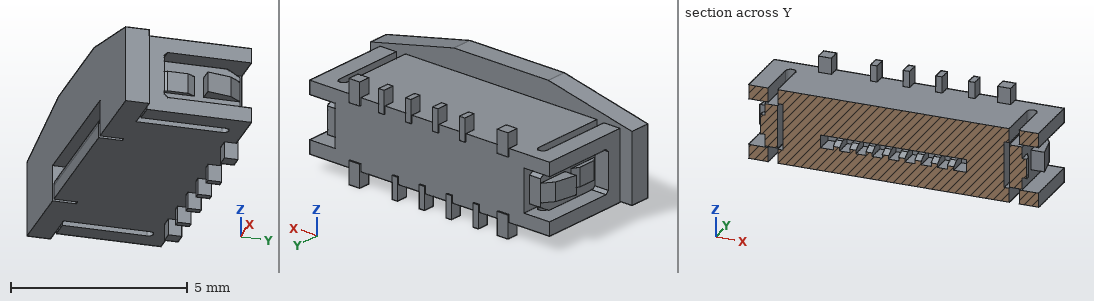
import cadquery as cq
import math


PLATE_WIDTH = 9.7
PLATE_DEPTH = 0.7
PLATE_PEAK_HEIGHT = 3.0
PLATE_PEAK_WIDTH = 3.5
WINDOW_WIDTH = 4.65
WINDOW_HEIGHT = 1.1

BODY_WIDTH = 8.9
BODY_HEIGHT = 2.3
BODY_REAR = 3.85
BODY_HALF = BODY_WIDTH / 2
WING_GAP = 0.05
SLOT_WIDTH = 0.3
SLOT_CENTER_X = 3.7
SLOT_END = 3.4
SLOT_INNER_X = SLOT_CENTER_X - SLOT_WIDTH / 2
SLOT_OUTER_X = SLOT_CENTER_X + SLOT_WIDTH / 2

CHANNEL_BOTTOM = 0.45
CHANNEL_TOP = BODY_HEIGHT - CHANNEL_BOTTOM
CHANNEL_FRONT = 1.265
CHANNEL_CHAMFER = 0.1
CHANNEL_INNER_X = 3.5
RELIEF_FRONT = 1.6
RELIEF_REAR = 3.09
RELIEF_DEPTH = 0.1

ARM_BOTTOM = 0.47
ARM_TOP = 1.8
ARM_INNER_X = SLOT_INNER_X
ARM_OUTER_X = 3.95
ARM_TIP_Y = 3.66
ARM_TIP_TAPER_LENGTH = 0.37
ARM_TIP_TAPER_HEIGHT = 0.22
LATCH_BOTTOM = 0.83
LATCH_TOP = 1.44
HOOK_RAMP_Y = 3.31
HOOK_RAMP_X = 4.22
HOOK_FRONT_Y = 2.58
HOOK_PEAK_X = 4.37
BUMP_REAR_Y = 2.315
BUMP_CREST_REAR_Y = 2.08
BUMP_CREST_FRONT_Y = 1.47
BUMP_CREST_X = 4.085

TONGUE_WIDTH = 4.4
TONGUE_HEIGHT = 0.72
TONGUE_LIP_RADIUS = 0.3
CAVITY_WIDTH = 4.47
CAVITY_REAR = 2.5

CONTACT_COUNT = 8
CONTACT_PITCH = 0.5
CONTACT_WIDTH = 0.2
CONTACT_BEND = 0.77
CONTACT_TOP = 0.94
CONTACT_FRONT = 1.8
CONTACT_LOWER_LEAN = 42
CONTACT_UPPER_LEAN = 61.5
TAIL_FRONT = 3.5
TAIL_REAR = 3.9
TAIL_REACH = 0.5
TAIL_INSET = 0.25

NAIL_WIDTH = 0.4
NAIL_CENTER_X = 2.75


def box(x_range, y_range, z_range):
    """Axis-aligned block between the given limits."""
    size = [limits[1] - limits[0] for limits in (x_range, y_range, z_range)]
    corner = (x_range[0], y_range[0], z_range[0])
    return cq.Workplane("XY").box(*size, centered=False).translate(corner)


def centered(width, middle=0):
    """Limits of a span of the given width about a middle point."""
    return (middle - width / 2, middle + width / 2)


def both_sides(shape):
    """The shape together with its mirror image across the YZ plane."""
    return shape.union(shape.mirror("YZ"))


def make_plate():
    half = PLATE_WIDTH / 2
    peak_half = PLATE_PEAK_WIDTH / 2
    outline = [
        (-half, 0),
        (half, 0),
        (half, BODY_HEIGHT),
        (peak_half, PLATE_PEAK_HEIGHT),
        (-peak_half, PLATE_PEAK_HEIGHT),
        (-half, BODY_HEIGHT),
    ]
    plate = cq.Workplane("XZ").polyline(outline).close().extrude(-PLATE_DEPTH)
    window = box(centered(WINDOW_WIDTH), (0, PLATE_DEPTH), (0, WINDOW_HEIGHT))
    return plate.cut(window)


def make_channel():
    """Space removed between the wings on the +X side."""
    channel = box(
        (CHANNEL_INNER_X, BODY_HALF),
        (CHANNEL_FRONT, BODY_REAR),
        (CHANNEL_BOTTOM, CHANNEL_TOP),
    )
    channel = channel.faces("<Y").edges("|X").chamfer(CHANNEL_CHAMFER)
    relief = box(
        (CHANNEL_INNER_X - RELIEF_DEPTH, CHANNEL_INNER_X),
        (RELIEF_FRONT, RELIEF_REAR),
        (CHANNEL_BOTTOM, CHANNEL_TOP),
    )
    return channel.union(relief)


def make_slot():
    """Slot with a round rear end, cut through the full height of the +X side."""
    radius = SLOT_WIDTH / 2
    arc_start = SLOT_END - radius
    return (
        cq.Workplane("XY")
        .moveTo(SLOT_INNER_X, PLATE_DEPTH)
        .lineTo(SLOT_OUTER_X, PLATE_DEPTH)
        .lineTo(SLOT_OUTER_X, arc_start)
        .threePointArc((SLOT_CENTER_X, SLOT_END), (SLOT_INNER_X, arc_start))
        .close()
        .extrude(BODY_HEIGHT)
    )


def make_housing():
    body = box(centered(BODY_WIDTH), (PLATE_DEPTH, BODY_REAR), (0, BODY_HEIGHT))
    wing_gap = box(
        (SLOT_INNER_X, BODY_HALF),
        (PLATE_DEPTH, PLATE_DEPTH + WING_GAP),
        (0, BODY_HEIGHT),
    )
    side_cuts = make_channel().union(make_slot()).union(wing_gap)
    cavity = box(centered(CAVITY_WIDTH), (PLATE_DEPTH, CAVITY_REAR), (TONGUE_HEIGHT, WINDOW_HEIGHT))
    return body.cut(both_sides(side_cuts)).cut(cavity)


def make_tongue():
    """Round-lipped tongue under the cable entry, flush with the front of the plate."""
    tongue = box(centered(TONGUE_WIDTH), (0, PLATE_DEPTH), (0, TONGUE_HEIGHT))
    return tongue.edges("<Y and >Z").fillet(TONGUE_LIP_RADIUS)


def make_arm():
    """Slider arm on the +X side, running back from the plate."""
    taper_start = ARM_TIP_Y - ARM_TIP_TAPER_LENGTH
    side_outline = [
        (PLATE_DEPTH, ARM_BOTTOM),
        (taper_start, ARM_BOTTOM),
        (ARM_TIP_Y, ARM_BOTTOM + ARM_TIP_TAPER_HEIGHT),
        (ARM_TIP_Y, ARM_TOP - ARM_TIP_TAPER_HEIGHT),
        (taper_start, ARM_TOP),
        (PLATE_DEPTH, ARM_TOP),
    ]
    arm = (
        cq.Workplane("YZ", origin=(ARM_INNER_X, 0, 0))
        .polyline(side_outline)
        .close()
        .extrude(ARM_OUTER_X - ARM_INNER_X)
    )
    hook_outline = [
        (ARM_INNER_X, ARM_TIP_Y),
        (ARM_OUTER_X, ARM_TIP_Y),
        (HOOK_RAMP_X, HOOK_RAMP_Y),
        (HOOK_PEAK_X, HOOK_FRONT_Y),
        (ARM_INNER_X, HOOK_FRONT_Y),
    ]
    bump_outline = [
        (ARM_OUTER_X, BUMP_REAR_Y),
        (BUMP_CREST_X, BUMP_CREST_REAR_Y),
        (BUMP_CREST_X, BUMP_CREST_FRONT_Y),
        (ARM_OUTER_X, CHANNEL_FRONT),
    ]
    for outline in (hook_outline, bump_outline):
        latch = (
            cq.Workplane("XY", origin=(0, 0, LATCH_BOTTOM))
            .polyline(outline)
            .close()
            .extrude(LATCH_TOP - LATCH_BOTTOM)
        )
        arm = arm.union(latch)
    return arm


def make_tail(width, x, upward):
    """Solder tail at the rear, standing out of the top or the bottom of the housing."""
    if upward:
        z_range = (BODY_HEIGHT - TAIL_INSET, BODY_HEIGHT + TAIL_REACH)
    else:
        z_range = (-TAIL_REACH, TAIL_INSET)
    return box(centered(width, x), (TAIL_FRONT, TAIL_REAR), z_range)


def make_contact(x):
    """Contact rising in two ramps from the cavity floor, which is level with the tongue."""
    lower_run = (CONTACT_BEND - TONGUE_HEIGHT) * math.tan(math.radians(CONTACT_LOWER_LEAN))
    upper_run = (CONTACT_TOP - CONTACT_BEND) * math.tan(math.radians(CONTACT_UPPER_LEAN))
    bend_y = CONTACT_FRONT + lower_run
    outline = [
        (CONTACT_FRONT, TONGUE_HEIGHT),
        (bend_y, CONTACT_BEND),
        (bend_y + upper_run, CONTACT_TOP),
        (CAVITY_REAR, CONTACT_TOP),
        (CAVITY_REAR, TONGUE_HEIGHT),
    ]
    return (
        cq.Workplane("YZ", origin=(x, 0, 0))
        .polyline(outline)
        .close()
        .extrude(CONTACT_WIDTH / 2, both=True)
    )


def add_contacts(part):
    """Contacts in the cable cavity, with tails alternating bottom and top."""
    first_x = -CONTACT_PITCH * (CONTACT_COUNT - 1) / 2
    for index in range(CONTACT_COUNT):
        x = first_x + index * CONTACT_PITCH
        tail_points_up = index % 2 == 1
        part = part.union(make_contact(x)).union(make_tail(CONTACT_WIDTH, x, tail_points_up))
    return part


def add_nails(part):
    for x in (-NAIL_CENTER_X, NAIL_CENTER_X):
        for upward in (False, True):
            part = part.union(make_tail(NAIL_WIDTH, x, upward))
    return part


connector = make_plate().union(make_housing()).union(make_tongue()).union(both_sides(make_arm()))
connector = add_contacts(connector)
result = add_nails(connector)